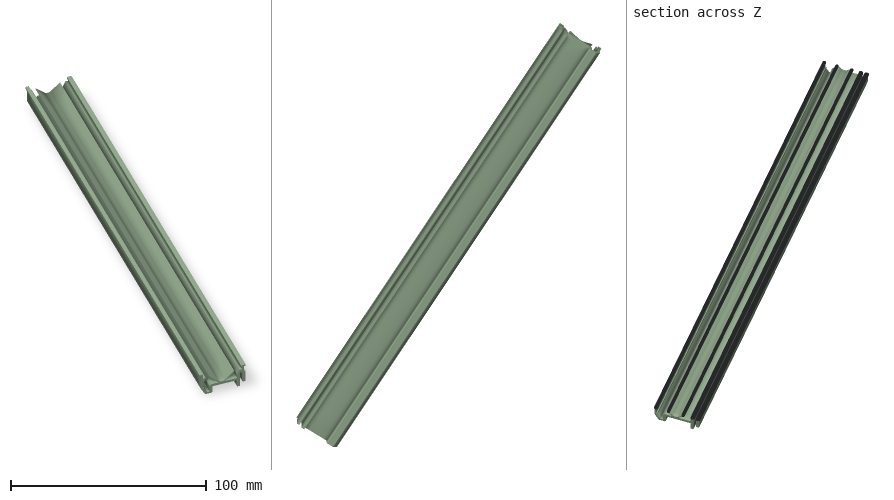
import cadquery as cq

length = 250.0
width = 25.2
height = 13.2
half_width = width / 2
top = height / 2
bottom = -top

lip_thickness = 1.0
back_lip_width = 2.5
front_lip_width = 1.8
arm_thickness = 1.0
arm_inset = 0.88
arm_outer = half_width - arm_inset
arm_inner = arm_outer - arm_thickness

rib_top = 4.0
rib_bottom = 2.0
rib_reach = 2.5

skirt_thickness = 1.5
skirt_outer = half_width - 0.12
skirt_inner = skirt_outer - skirt_thickness
skirt_bottom = -4.2
skirt_top = 2.2
leg_thickness = 1.5
leg_outer = 9.5
leg_inner = leg_outer - leg_thickness
shoulder_bottom = 1.2
shoulder_valley = 3.5

web_top = -1.0
web_bottom = -2.5
hook_inner = -5.5
hook_wall = 1.5
hook_outer = hook_inner - hook_wall
hook_floor = 1.0
hook_corner = 1.0
hook_base_front = -9.5
hook_slope_top = -2.8
hook_slope_inner = -10.2
hook_floor_front = -8.5
hook_bevel = 0.5

vee_center = -0.38
vee_half_span = 6.8
vee_top = 4.2
vee_floor = -0.5
vee_floor_half_width = 1.2
vee_sag = 0.2
vee_drop = 0.5
vee_foot_half_width = 1.8


def extrude_outline(points):
    """Extrude a closed Y-Z outline along the full rail length."""
    return cq.Workplane("YZ").polyline(points).close().extrude(length / 2, both=True)


def bar(y_min, y_max, z_min, z_max):
    """Rectangular strip running along the rail."""
    return extrude_outline([(y_min, z_min), (y_max, z_min), (y_max, z_max), (y_min, z_max)])


def back_side():
    lip = bar(half_width - back_lip_width, half_width, top - lip_thickness, top)
    arm = bar(arm_inner, arm_outer, rib_bottom, top)
    skirt = bar(skirt_inner, skirt_outer, skirt_bottom, skirt_top)
    shoulder = extrude_outline([
        (arm_outer, rib_bottom),
        (leg_outer, rib_bottom),
        (leg_outer, bottom),
        (leg_inner, bottom),
        (leg_inner, shoulder_bottom),
        (arm_outer - rib_reach, rib_top),
        (arm_outer, shoulder_valley),
    ])
    return lip.union(arm).union(skirt).union(shoulder)


def front_side():
    lip = bar(-half_width, -half_width + front_lip_width, top - lip_thickness, top)
    arm = bar(-arm_outer, -arm_inner, hook_slope_top, top)
    rib = bar(-arm_outer, -arm_outer + rib_reach, rib_bottom, rib_top)
    return lip.union(arm).union(rib)


def web_and_hook():
    return extrude_outline([
        (leg_outer, web_top),
        (hook_outer + hook_corner, web_top),
        (hook_outer, web_top - hook_corner),
        (hook_outer, bottom + hook_floor),
        (hook_floor_front, bottom + hook_floor),
        (hook_slope_inner, hook_slope_top - hook_bevel),
        (hook_slope_inner, hook_slope_top + hook_bevel),
        (-arm_outer, hook_slope_top + hook_bevel),
        (-arm_outer, hook_slope_top),
        (hook_base_front, bottom),
        (hook_inner - hook_bevel, bottom),
        (hook_inner, bottom + hook_bevel),
        (hook_inner, web_bottom),
        (leg_outer, web_bottom),
    ])


def vee():
    back_tip = vee_center + vee_half_span
    front_tip = vee_center - vee_half_span
    return (
        cq.Workplane("YZ")
        .moveTo(back_tip, vee_top)
        .lineTo(vee_center + vee_floor_half_width, vee_floor)
        .threePointArc((vee_center, vee_floor - vee_sag), (vee_center - vee_floor_half_width, vee_floor))
        .lineTo(front_tip, vee_top)
        .lineTo(front_tip, vee_top - vee_drop)
        .lineTo(vee_center - vee_foot_half_width, web_top)
        .lineTo(vee_center - vee_foot_half_width, web_bottom)
        .lineTo(vee_center + vee_foot_half_width, web_bottom)
        .lineTo(vee_center + vee_foot_half_width, web_top)
        .lineTo(back_tip, vee_top - vee_drop)
        .close()
        .extrude(length / 2, both=True)
    )


result = back_side().union(web_and_hook()).union(front_side()).union(vee()).clean()